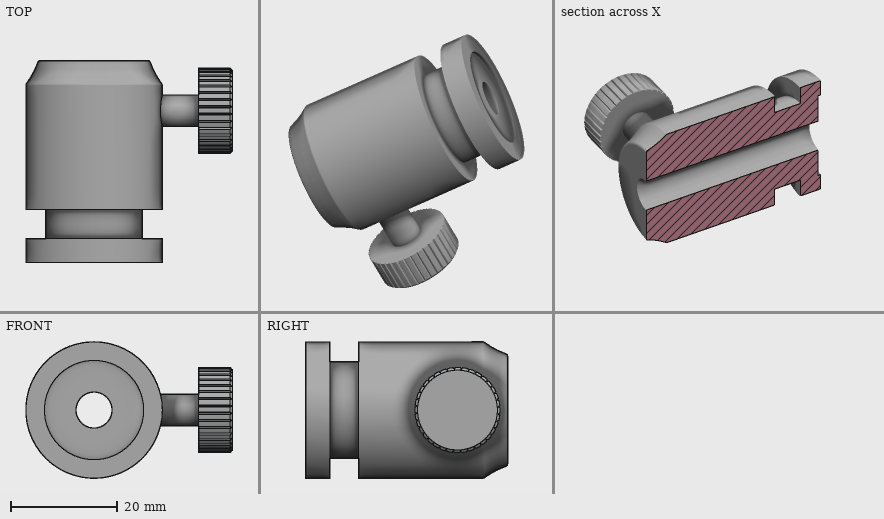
import cadquery as cq

overall_width = 39.03

housing_diameter = 25.75
housing_length = 38.1
housing_radius = housing_diameter / 2

flange_thickness = 4.53
barrel_front = 10.0
neck_diameter = 18.25

nose_start = 33.55
nose_end_radius = 10.5
nose_flare_radius = 15.6
nose_rim_fillet = 0.5

bore_diameter = 6.75
recess_diameter = 18.75
recess_depth = 0.5

screw_y = 28.6
shaft_diameter = 6.0
shaft_depth_in_housing = shaft_diameter
shaft_end = housing_radius - shaft_depth_in_housing
knob_diameter = 16.08
knob_length = 6.45
knob_outer_face = overall_width - housing_radius
knob_inner_face = knob_outer_face - knob_length
knob_chamfer = 0.5

knurl_count = 36
knurl_width = 0.43
knurl_depth = 0.35
knurl_start_angle = 4.4


def cylinder_along_x(diameter, x_start, x_end):
    """Cylinder on the thumbscrew axis."""
    return (
        cq.Workplane("YZ", origin=(x_start, screw_y, 0))
        .circle(diameter / 2)
        .extrude(x_end - x_start)
    )


def cylinder_along_y(diameter, length):
    """Cylinder on the housing axis, starting at the front face."""
    return cq.Workplane("XZ").circle(diameter / 2).extrude(-length)


def make_turned_blank():
    """Solid of revolution with flange, neck, barrel and flared nose."""
    neck_radius = neck_diameter / 2
    blank = (
        cq.Workplane("XY")
        .moveTo(0, 0)
        .lineTo(housing_radius, 0)
        .lineTo(housing_radius, flange_thickness)
        .lineTo(neck_radius, flange_thickness)
        .lineTo(neck_radius, barrel_front)
        .lineTo(housing_radius, barrel_front)
        .lineTo(housing_radius, nose_start)
        .radiusArc((nose_end_radius, housing_length), nose_flare_radius)
        .lineTo(0, housing_length)
        .close()
        .revolve(360, (0, 0, 0), (0, 1, 0))
    )
    front_rim = cq.selectors.NearestToPointSelector((0, nose_start, 0))
    rounded = blank.edges(front_rim).fillet(nose_rim_fillet)
    return rounded.faces(">Y").edges().fillet(nose_rim_fillet)


def make_housing():
    bore = cylinder_along_y(bore_diameter, housing_length)
    recess = cylinder_along_y(recess_diameter, recess_depth)
    screw_hole = cylinder_along_x(shaft_diameter, shaft_end, housing_radius)
    return make_turned_blank().cut(bore).cut(recess).cut(screw_hole)


def make_knurl_cutter():
    """All the V grooves of the knob, as separate prisms running along X."""
    knob_radius = knob_diameter / 2
    groove = (
        cq.Workplane("YZ", origin=(knob_inner_face, 0, 0))
        .moveTo(0, knob_radius - knurl_depth)
        .lineTo(knurl_width, knob_radius + knurl_depth)
        .lineTo(-knurl_width, knob_radius + knurl_depth)
        .close()
        .extrude(knob_length)
    )
    grooves = []
    for index in range(knurl_count):
        angle = knurl_start_angle + index * 360 / knurl_count
        turned_groove = groove.rotate((0, 0, 0), (1, 0, 0), angle)
        grooves.append(turned_groove.translate((0, screw_y, 0)).val())
    return cq.Compound.makeCompound(grooves)


def make_thumbscrew():
    knob = (
        cylinder_along_x(knob_diameter, knob_inner_face, knob_outer_face)
        .faces(">X")
        .chamfer(knob_chamfer)
        .cut(make_knurl_cutter())
    )
    shaft = cylinder_along_x(shaft_diameter, shaft_end, knob_inner_face)
    return knob.union(shaft)


housing = make_housing()
thumbscrew = make_thumbscrew()

result = cq.Compound.makeCompound([housing.val(), thumbscrew.val()])